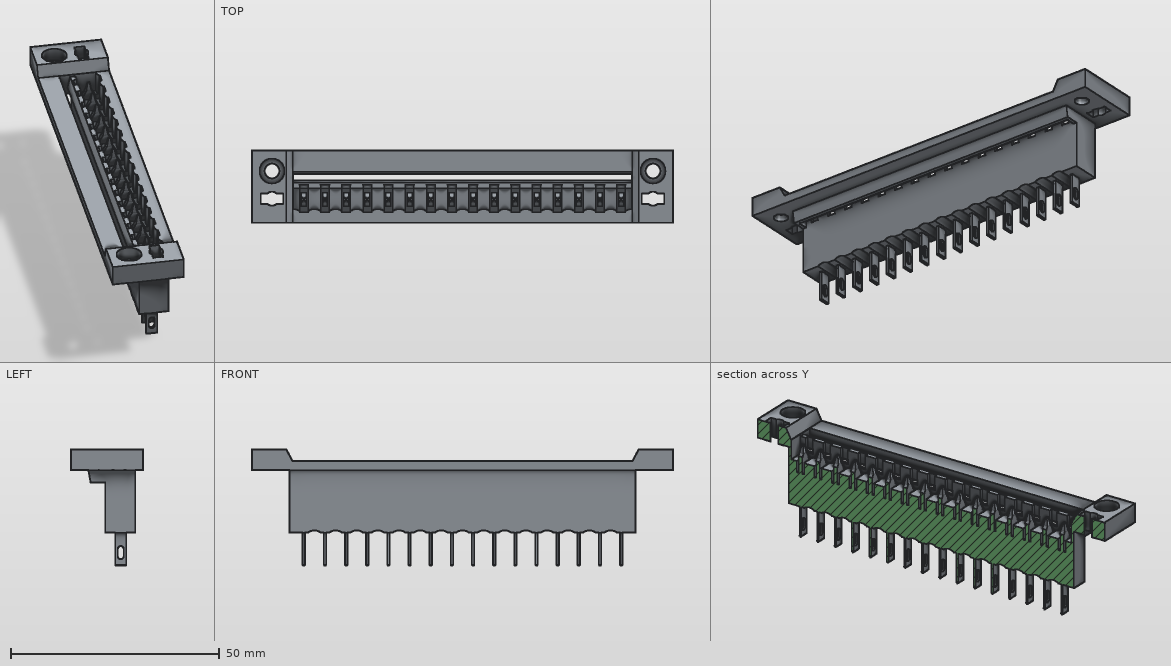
import cadquery as cq

flange_length = 101.2
flange_depth = 17.4
ear_height = 5.0
rail_height = 2.2
ear_top_length = 8.3
rail_half_length = 40.8

body_length = 83.2
body_front = -6.8
body_back = 0.45
body_bottom = -15.0

step_bottom = -3.0
step_back_top = 4.5
step_back_bottom = 3.95

pin_count = 16
pin_pitch = 5.08
pin_y = -3.3
pin_thickness = 0.65
pin_width = 2.75
pin_bottom = -23.0
pin_tip_chamfer = 0.3
eye_width = 1.4
eye_height = 3.1
eye_z = -19.8

trough_half_length = 40.7
trough_front = -5.9
wall_front = -0.4
wall_back_top = 0.9
wall_back_bottom = 1.55
wall_skirt_bottom = -1.3
wall_top = 1.65
trough_back = 3.6
lip_front = 3.0
lip_top = -2.5
front_floor = -3.0

chamber_width = 2.05
chamber_front = -6.1
chamber_floor = -6.0
slot_floor = -2.1
post_width = 1.2
post_depth = 3.3
post_y = -3.1
post_embedment = 1.0
post_shoulder = -2.7
post_neck = -0.8
post_neck_depth = 1.3
post_tip = 1.2
post_tip_width = 0.3
post_tip_depth = 0.5

arch_width = 3.0
arch_rise = 0.5

ear_hole_x = 45.75
screw_y = 3.75
screw_diameter = 3.5
counterbore_diameter = 6.0
counterbore_depth = 3.2
key_y = -2.9
key_length = 5.3
key_depth = 2.45
key_round_diameter = 3.3

pin_positions = [(i - (pin_count - 1) / 2) * pin_pitch for i in range(pin_count)]
gap_positions = [(i - pin_count / 2) * pin_pitch for i in range(pin_count + 1)]


def box(x_range, y_range, z_range):
    """Axis-aligned block between the given limits."""
    size = [high - low for low, high in (x_range, y_range, z_range)]
    corner = (x_range[0], y_range[0], z_range[0])
    return cq.Workplane("XY").box(*size, centered=False).translate(corner)


def lengthwise_prism(points_yz, length):
    """Closed Y-Z outline extruded along X, centred on X = 0."""
    return cq.Workplane("YZ").polyline(points_yz).close().extrude(length / 2, both=True)


def make_flange():
    """Low rail with a raised, slope-sided ear at each end."""
    half_length = flange_length / 2
    ear_inner_x = half_length - ear_top_length
    outline = [
        (-half_length, 0),
        (half_length, 0),
        (half_length, ear_height),
        (ear_inner_x, ear_height),
        (rail_half_length, rail_height),
        (-rail_half_length, rail_height),
        (-ear_inner_x, ear_height),
        (-half_length, ear_height),
    ]
    return cq.Workplane("XZ").polyline(outline).close().extrude(flange_depth / 2, both=True)


def make_body():
    """Deep housing with a shallow, slightly tapered step along its back."""
    outline = [
        (body_front, 0),
        (step_back_top, 0),
        (step_back_bottom, step_bottom),
        (body_back, step_bottom),
        (body_back, body_bottom),
        (body_front, body_bottom),
    ]
    return lengthwise_prism(outline, body_length)


def make_trough_cut():
    """Front floor area, back opening and the space above the slotted wall."""
    outline = [
        (trough_front, ear_height),
        (trough_front, front_floor),
        (wall_front, front_floor),
        (wall_front, wall_top),
        (wall_back_top, wall_top),
        (wall_back_bottom, wall_skirt_bottom),
        (body_back, wall_skirt_bottom),
        (body_back, step_bottom),
        (lip_front, step_bottom),
        (lip_front, lip_top),
        (trough_back, lip_top),
        (trough_back, ear_height),
    ]
    return lengthwise_prism(outline, 2 * trough_half_length)


def make_rail_arches():
    """Rounded swellings on the front wall of the trough, one in each gap between chambers."""
    reach = box((-trough_half_length, trough_half_length), (body_front, 0), (front_floor, rail_height))
    arches = cq.Workplane("XY", origin=(0, 0, front_floor))
    for x in gap_positions:
        arches = (
            arches.moveTo(x - arch_width / 2, trough_front)
            .threePointArc((x, trough_front + arch_rise), (x + arch_width / 2, trough_front))
            .close()
        )
    return arches.extrude(rail_height - front_floor).intersect(reach)


def make_bottom_arches():
    """Shallow grooves across the underside of the body, one between each pair of pins."""
    arches = cq.Workplane("XZ", origin=(0, body_back, 0))
    for x in gap_positions[1:-1]:
        arches = (
            arches.moveTo(x - arch_width / 2, body_bottom)
            .threePointArc((x, body_bottom + arch_rise), (x + arch_width / 2, body_bottom))
            .close()
        )
    return arches.extrude(body_back - body_front)


def make_chamber_cut(x):
    """Contact chamber with a slot in the wall behind, open below the skirt of the wall."""
    sides = (x - chamber_width / 2, x + chamber_width / 2)
    chamber = box(sides, (chamber_front, wall_front), (chamber_floor, ear_height))
    slot = box(sides, (wall_front, body_back), (slot_floor, ear_height))
    return chamber.union(slot)


def make_pin(x):
    """Contact: pointed post in the chamber and a flat solder tail with an eye."""
    post_outline = [
        (post_y - post_depth / 2, chamber_floor - post_embedment),
        (post_y - post_depth / 2, post_shoulder),
        (post_y - post_neck_depth / 2, post_neck),
        (post_y + post_neck_depth / 2, post_neck),
        (post_y + post_depth / 2, post_shoulder),
        (post_y + post_depth / 2, chamber_floor - post_embedment),
    ]
    post = lengthwise_prism(post_outline, post_width).translate((x, 0, 0))
    point = (
        cq.Workplane("XY", origin=(x, post_y, post_neck))
        .rect(post_width, post_neck_depth)
        .workplane(offset=post_tip - post_neck)
        .rect(post_tip_width, post_tip_depth)
        .loft(ruled=True)
    )
    tail = box(
        (x - pin_thickness / 2, x + pin_thickness / 2),
        (pin_y - pin_width / 2, pin_y + pin_width / 2),
        (pin_bottom, chamber_floor),
    )
    tail = tail.faces("<Z").chamfer(pin_tip_chamfer)
    eye = (
        cq.Workplane("YZ", origin=(x, pin_y, eye_z))
        .slot2D(eye_height, eye_width, 90)
        .extrude(pin_thickness, both=True)
    )
    return post.union(point).union(tail.cut(eye))


def cut_ear_openings(part, x):
    """Counterbored screw hole and round-centred key slot through one ear."""
    screw_hole = cq.Workplane("XY").center(x, screw_y).circle(screw_diameter / 2).extrude(ear_height)
    counterbore = (
        cq.Workplane("XY", origin=(x, screw_y, ear_height))
        .circle(counterbore_diameter / 2)
        .extrude(-counterbore_depth)
    )
    key_slot = cq.Workplane("XY").center(x, key_y).rect(key_length, key_depth).extrude(ear_height)
    key_round = cq.Workplane("XY").center(x, key_y).circle(key_round_diameter / 2).extrude(ear_height)
    return part.cut(screw_hole).cut(counterbore).cut(key_slot).cut(key_round)


result = make_flange().union(make_body())
result = result.cut(make_trough_cut()).union(make_rail_arches()).cut(make_bottom_arches())
chambers = [make_chamber_cut(x).val() for x in pin_positions]
result = result.cut(cq.Workplane(cq.Compound.makeCompound(chambers)))
pins = [make_pin(x).val() for x in pin_positions]
result = result.union(cq.Workplane(cq.Compound.makeCompound(pins)))
for side in (-1, 1):
    result = cut_ear_openings(result, side * ear_hole_x)
result = result.solids()